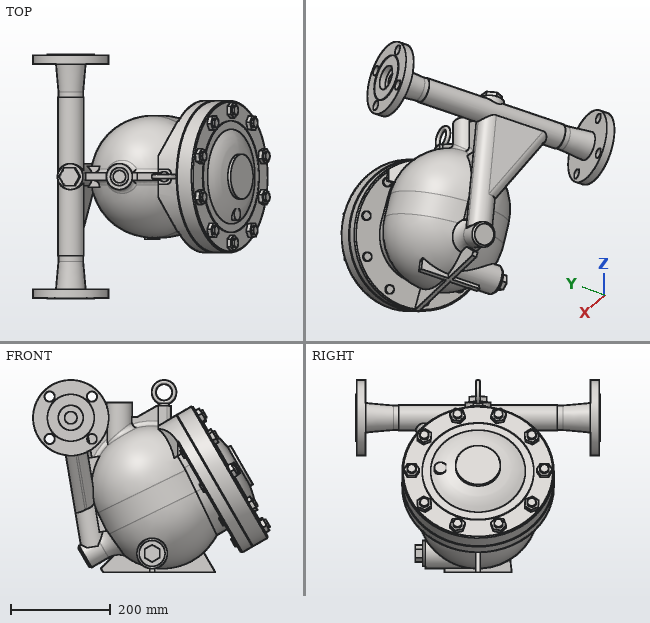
import cadquery as cq
import math


face_to_face = 490.0
pipe_diameter = 52.0
pipe_radius = pipe_diameter / 2
pipe_half_length = 159.0
flange_diameter = 152.0
flange_thickness = 18.0
raised_face_diameter = 94.0
raised_face_height = 1.5
hub_large_diameter = 60.0
hub_small_diameter = 50.0
hub_straight_length = 11.0
socket_diameter = 50.0
socket_depth = 13.0
flange_bore_diameter = 25.0
flange_bore_depth = 60.0
flange_hole_circle = 120.0
flange_hole_diameter = 20.0
flange_hole_count = 4

tilt = 30.0
chamber_radius = 245.0 / 2
chamber_tilt = 26.0
chamber_stretch = 48.0
chamber_setback = 88.0
upper_rise = 53.5
neck_radius = 97.0
neck_length = 24.0

cover_center = (320.0, -108.0)
cover_diameter = 305.0
cover_thickness = 36.5
body_flange_thickness = 26.5
body_flange_chamfer = 3.0
joint_groove_width = 1.5
joint_groove_depth = 1.0
joint_thickness = cover_thickness + body_flange_thickness
cover_chamfer = 2.5
cover_pad_radius = 112.0
cover_pad_height = 2.0
dome_radius = 95.0
dome_rise = 20.0
dome_mid_radius = 72.0
dome_mid_rise = 13.5
cover_boss_diameter = 90.0
cover_boss_height = 26.5
side_boss_diameter = 25.0
side_boss_offset = 75.0
side_boss_height = 16.0
stud_count = 10
stud_circle_radius = 133.0
stud_diameter = 18.0
stud_front = 13.5
stud_back = 4.0
nut_width = 27.0
nut_height = 9.0

shoulder_back = 175.0
shoulder_back_half_width = 41.0
shoulder_floor = 80.0
shoulder_front = 214.0
shoulder_front_half_width = 111.0

downpipe_tilt = 9.5
downpipe_offset = 3.5
downpipe_length = 262.0
cap_seat_height = 29.0
cap_hex_width = 36.0
cap_top = 41.0
web_width = 42.0
web_start = 14.0
web_reach = 40.0
web_top = 85.0
web_bottom = 235.0
gusset_width = 141.0
gusset_depth = 227.0
gusset_thickness = 44.0
gusset_edge_radius = 20.0
stub_diameter = 51.0
stub_rise = -2.0
stub_length = 190.0
stub_chamfer = 4.0
stub_flare_start = 147.0
stub_flare_end = 109.0
stub_flare_radius = 49.0
stub_flare_sag = 0.35

vent_x = 97.5
vent_top = 31.0
vent_diameter = 52.0
vent_counterbore = 36.0
vent_counterbore_depth = 1.0
vent_bore = 25.0
vent_bore_depth = 30.0
rib_thickness = 15.0
rib_fillet = 10.0
tolerance = 0.05
pipe_rib_low = -18.0
pipe_rib_high = 20.0
pipe_rib_bottom = -75.0
lug_rib_low = 2.0
lug_rib_high = 25.0
lug_rib_level_length = 10.0
eye_x = 187.0
lug_length = 26.0
lug_width = 30.0
lug_top = 24.0
collar_diameter = 20.0
collar_height = 5.0
eye_outer_diameter = 50.0
eye_wire_diameter = 9.0
eye_top = flange_diameter / 2

drain_center = (163.0, -272.0)
drain_diameter = 61.0
drain_face = 105.5
plug_collar_diameter = 52.0
plug_collar_face = 111.0
plug_hex_width = 30.0
plug_face = 126.0

base_z = -310.0
foot_plate_thickness = 10.0
foot_outline = [(65, base_z), (60, -302), (100, -262), (265, -267), (290, base_z)]
foot_half_width = 68.0
foot_top_half_width = 62.0
foot_height = 50.0

cos_tilt = math.cos(math.radians(tilt))
sin_tilt = math.sin(math.radians(tilt))
cover_axis = cq.Vector(cos_tilt, 0, sin_tilt)


def along_cover_axis(distance, rise=0.0):
    """X and Z of a point in the middle plane, from the centre of the cover face."""
    x = cover_center[0] + distance * cos_tilt - rise * sin_tilt
    z = cover_center[1] + distance * sin_tilt + rise * cos_tilt
    return x, z


def cover_plane(distance, rise=0.0):
    """Workplane square to the cover axis: local x is +Y, local y is up the cover."""
    x, z = along_cover_axis(distance, rise)
    return cq.Workplane(cq.Plane((x, 0, z), (0, 1, 0), (cos_tilt, 0, sin_tilt)))


def turn_axis(x, z, axis_tilt):
    """Plane for turned profiles: local x is +Y, local y points down and back along the tilted axis."""
    lean = math.radians(axis_tilt)
    return cq.Plane((x, 0, z), (0, 1, 0), (-math.sin(lean), 0, math.cos(lean)))


def hexagon(plane, width, height):
    """Hexagonal prism measured across its flats."""
    return plane.polygon(6, width / math.cos(math.radians(30))).extrude(height)


chamber_depth = joint_thickness + chamber_setback
upper_center = along_cover_axis(-chamber_depth, upper_rise)
lower_center = (
    upper_center[0] + chamber_stretch * math.sin(math.radians(chamber_tilt)),
    upper_center[1] - chamber_stretch * math.cos(math.radians(chamber_tilt)),
)


def make_chamber():
    x_low, z_low = lower_center
    x_up, z_up = upper_center
    lower = cq.Workplane("XY").sphere(chamber_radius).translate((x_low, 0, z_low))
    upper = cq.Workplane("XY").sphere(chamber_radius).translate((x_up, 0, z_up))
    stretch_plane = turn_axis(x_low, z_low, chamber_tilt)
    waist = cq.Workplane(stretch_plane).circle(chamber_radius).extrude(chamber_stretch)
    chamber = lower.union(upper).union(waist)
    block_size = 4 * cover_diameter
    in_front = cover_plane(-joint_thickness).rect(block_size, block_size).extrude(cover_diameter)
    return chamber.cut(in_front)


def make_vent_boss():
    height = vent_top - upper_center[1]
    plane = cq.Workplane("XY").workplane(offset=upper_center[1]).center(vent_x, 0)
    return plane.circle(vent_diameter / 2).extrude(height)


def make_vent_holes():
    plane = cq.Workplane("XY").workplane(offset=vent_top).center(vent_x, 0)
    counterbore = plane.circle(vent_counterbore / 2).extrude(-vent_counterbore_depth)
    return counterbore.union(plane.circle(vent_bore / 2).extrude(-vent_bore_depth))


def make_rib(outline):
    plane = cq.Workplane("XZ").workplane(offset=-rib_thickness / 2)
    return plane.polyline(outline).close().extrude(rib_thickness)


def make_ribs():
    center_x, center_z = upper_center
    pipe_rib = make_rib([
        (0, pipe_rib_low),
        (vent_x - vent_diameter / 2, pipe_rib_high),
        (vent_x, pipe_rib_high),
        (center_x, center_z),
        (0, pipe_rib_bottom),
    ])
    lug_rib = make_rib([
        (vent_x, lug_rib_low),
        (vent_x + vent_diameter / 2 + lug_rib_level_length, lug_rib_low),
        (eye_x - lug_length / 2, lug_rib_high),
        (eye_x, lug_rib_high),
        (center_x, center_z),
        (vent_x, center_z),
    ])
    return pipe_rib.union(lug_rib)


def blend_into_chamber(solid):
    """Fillet the edges where the vent boss and the ribs meet the upper chamber sphere."""
    lean = math.radians(chamber_tilt)
    stretch = cq.Vector(math.sin(lean), 0, -math.cos(lean))
    center = cq.Vector(upper_center[0], 0, upper_center[1])

    def is_root_edge(edge):
        spokes = [edge.positionAt(place) - center for place in (0.1, 0.5, 0.9)]
        on_sphere = all(abs(spoke.Length - chamber_radius) < tolerance for spoke in spokes)
        on_seam = all(abs(spoke.dot(stretch)) < tolerance for spoke in spokes)
        return on_sphere and not on_seam and abs(edge.Center().y) < vent_diameter / 2

    root_edges = [edge for edge in solid.edges().vals() if is_root_edge(edge)]
    return solid.newObject(root_edges).fillet(rib_fillet)


def make_lug():
    height = lug_top - upper_center[1]
    plane = cq.Workplane("XY").workplane(offset=upper_center[1])
    lug = plane.center(shoulder_back + lug_length / 2, 0).rect(lug_length, lug_width).extrude(height)
    return lug.edges("|Z and >X").fillet(lug_length / 3)


def make_shoulder():
    """Flange rim carried backwards, kept to a wedge at the top of the chamber."""
    bar = cover_plane(-joint_thickness - cover_diameter / 2)
    bar = bar.circle(cover_diameter / 2).extrude(cover_diameter / 2 + body_flange_thickness)
    wedge = (
        cq.Workplane("XY")
        .polyline([
            (shoulder_back, -shoulder_back_half_width),
            (shoulder_front, -shoulder_front_half_width),
            (2 * shoulder_front, -shoulder_front_half_width),
            (2 * shoulder_front, shoulder_front_half_width),
            (shoulder_front, shoulder_front_half_width),
            (shoulder_back, shoulder_back_half_width),
        ])
        .close()
        .extrude(-2 * cover_diameter)
        .translate((0, 0, cover_diameter))
    )
    upper_part = cover_plane(-2 * cover_diameter, shoulder_floor + cover_diameter / 2)
    upper_part = upper_part.rect(2 * cover_diameter, cover_diameter).extrude(3 * cover_diameter)
    return bar.intersect(wedge).intersect(upper_part)


def make_eyebolt():
    collar = cq.Workplane("XY").workplane(offset=lug_top).center(eye_x, 0)
    collar = collar.circle(collar_diameter / 2).extrude(collar_height)
    ring_radius = (eye_outer_diameter - eye_wire_diameter) / 2
    ring_z = eye_top - eye_outer_diameter / 2
    ring = cq.Solid.makeTorus(
        ring_radius, eye_wire_diameter / 2, cq.Vector(eye_x, 0, ring_z), cq.Vector(0, 1, 0)
    )
    return collar.union(cq.Workplane(ring))


def make_neck():
    """Two short cylinders that close the chamber against the back of the flange."""
    plane = cover_plane(-joint_thickness - neck_length)
    lower = plane.circle(neck_radius).extrude(neck_length)
    upper = plane.center(0, upper_rise).circle(neck_radius).extrude(neck_length)
    middle = plane.center(0, upper_rise / 2).rect(2 * neck_radius, upper_rise).extrude(neck_length)
    return lower.union(upper).union(middle)


def make_body_flange():
    plane = cover_plane(-joint_thickness)
    flange = plane.circle(cover_diameter / 2).extrude(body_flange_thickness)
    back_face = flange.faces(cq.selectors.DirectionMinMaxSelector(cover_axis, False))
    return back_face.edges().chamfer(body_flange_chamfer)


def make_joint_groove():
    """Shallow groove round the rim where the cover meets the body flange."""
    plane = cover_plane(-cover_thickness - joint_groove_width / 2)
    groove = plane.circle(cover_diameter / 2 + joint_groove_depth)
    return groove.circle(cover_diameter / 2 - joint_groove_depth).extrude(joint_groove_width)


def make_cover():
    disc = cover_plane(-cover_thickness).circle(cover_diameter / 2).extrude(cover_thickness)
    disc = disc.faces(cq.selectors.DirectionMinMaxSelector(cover_axis)).edges().chamfer(cover_chamfer)
    boss_radius = cover_boss_diameter / 2
    dome = (
        cq.Workplane(cq.Plane((cover_center[0], 0, cover_center[1]), (0, 1, 0), (sin_tilt, 0, -cos_tilt)))
        .moveTo(0, -cover_thickness / 2)
        .lineTo(cover_pad_radius, -cover_thickness / 2)
        .lineTo(cover_pad_radius, cover_pad_height)
        .lineTo(dome_radius, cover_pad_height)
        .threePointArc((dome_mid_radius, dome_mid_rise), (boss_radius, dome_rise))
        .lineTo(boss_radius, cover_boss_height)
        .lineTo(0, cover_boss_height)
        .close()
        .revolve(360, (0, 0, 0), (0, 1, 0))
    )
    side_boss = cover_plane(0).center(-side_boss_offset, 0)
    side_boss = side_boss.circle(side_boss_diameter / 2).extrude(side_boss_height)
    return disc.union(dome).union(side_boss)


def make_studs():
    studs = cover_plane(-joint_thickness - stud_back)
    studs = studs.polarArray(stud_circle_radius, 0, 360, stud_count)
    studs = studs.circle(stud_diameter / 2).extrude(joint_thickness + stud_back + stud_front)
    nuts = cover_plane(0).polarArray(stud_circle_radius, 0, 360, stud_count)
    return studs.union(hexagon(nuts, nut_width, nut_height))


def make_pipe_flange():
    """One end of the header, on the +Y side."""
    end = face_to_face / 2
    back = end - raised_face_height - flange_thickness
    hub_start = pipe_half_length + hub_straight_length
    flange = (
        cq.Workplane("XY")
        .polyline([
            (0, pipe_half_length),
            (hub_small_diameter / 2, pipe_half_length),
            (hub_small_diameter / 2, hub_start),
            (hub_large_diameter / 2, back),
            (flange_diameter / 2, back),
            (flange_diameter / 2, back + flange_thickness),
            (raised_face_diameter / 2, back + flange_thickness),
            (raised_face_diameter / 2, end),
            (0, end),
        ])
        .close()
        .revolve(360, (0, 0, 0), (0, 1, 0))
    )
    face = cq.Workplane("XZ").workplane(offset=-end)
    socket = face.circle(socket_diameter / 2).extrude(socket_depth)
    bore = face.circle(flange_bore_diameter / 2).extrude(flange_bore_depth)
    holes = face.polarArray(flange_hole_circle / 2, 45, 360, flange_hole_count)
    holes = holes.circle(flange_hole_diameter / 2).extrude(2 * flange_thickness)
    return flange.cut(socket).cut(bore).cut(holes)


def make_header():
    pipe = cq.Workplane("XZ").circle(pipe_radius).extrude(pipe_half_length, both=True)
    end = make_pipe_flange()
    return pipe.union(end).union(end.mirror("XZ"))


def downpipe_plane(distance):
    """Workplane square to the downpipe, distance measured upwards along its axis."""
    lean = math.radians(downpipe_tilt)
    axis = (-math.sin(lean), 0, math.cos(lean))
    origin = (downpipe_offset + distance * axis[0], 0, distance * axis[2])
    return cq.Workplane(cq.Plane(origin, (0, 1, 0), axis))


def make_downpipe():
    pipe = downpipe_plane(-downpipe_length).circle(pipe_radius).extrude(downpipe_length + cap_seat_height)
    cap_seat = downpipe_plane(cap_seat_height).transformed(rotate=(0, 0, 30))
    cap = hexagon(cap_seat, cap_hex_width, cap_top - cap_seat_height)
    return pipe.union(cap)


def make_web():
    """Metal that closes the narrow gap between the downpipe and the chamber."""
    web = downpipe_plane(-web_bottom).center(0, -web_reach / 2 - web_start)
    return web.rect(web_width, web_reach).extrude(web_bottom - web_top)


def make_gusset():
    """Triangular plate beside the downpipe, flush with its back, with a rounded free edge."""
    gusset = (
        downpipe_plane(0)
        .transformed(rotate=(90, 0, 0))
        .workplane(offset=-pipe_radius)
        .polyline([(0, 0), (-gusset_width, 0), (0, -gusset_depth)])
        .close()
        .extrude(gusset_thickness)
    )
    lean = math.radians(downpipe_tilt)
    free_side = cq.Vector(-gusset_depth * math.sin(lean), -gusset_width, gusset_depth * math.cos(lean))
    return gusset.edges(cq.selectors.ParallelDirSelector(free_side)).fillet(gusset_edge_radius)


def make_stub():
    """Inlet stub that flares into the chamber, turned about a line along the cover axis."""
    stub_radius = stub_diameter / 2
    x, z = along_cover_axis(-chamber_depth, stub_rise)
    plane = turn_axis(x, z, tilt)
    mid_distance = stub_flare_end + (stub_flare_start - stub_flare_end) * stub_flare_sag
    mid_radius = stub_radius + (stub_flare_radius - stub_radius) * stub_flare_sag
    return (
        cq.Workplane(plane)
        .moveTo(0, 0)
        .lineTo(stub_flare_radius, 0)
        .lineTo(stub_flare_radius, stub_flare_end)
        .threePointArc((mid_radius, mid_distance), (stub_radius, stub_flare_start))
        .lineTo(stub_radius, stub_length - stub_chamfer)
        .lineTo(stub_radius - stub_chamfer, stub_length)
        .lineTo(0, stub_length)
        .close()
        .revolve(360, (0, 0, 0), (0, 1, 0))
    )


def make_drain():
    x, z = drain_center
    plane = cq.Workplane("XZ").center(x, z)
    boss = plane.circle(drain_diameter / 2).extrude(drain_face)
    collar = plane.circle(plug_collar_diameter / 2).extrude(plug_collar_face)
    plug = plane.transformed(rotate=(0, 0, 30))
    return boss.union(collar).union(hexagon(plug, plug_hex_width, plug_face))


def make_foot():
    long_plate = (
        cq.Workplane("XZ")
        .workplane(offset=-foot_plate_thickness / 2)
        .polyline(foot_outline)
        .close()
        .extrude(foot_plate_thickness)
    )
    cross_plate = (
        cq.Workplane("YZ")
        .workplane(offset=drain_center[0] - foot_plate_thickness / 2)
        .polyline([
            (-foot_half_width, base_z),
            (foot_half_width, base_z),
            (foot_top_half_width, base_z + foot_height),
            (-foot_top_half_width, base_z + foot_height),
        ])
        .close()
        .extrude(foot_plate_thickness)
    )
    return long_plate.union(cross_plate)


ribbed_chamber = make_chamber().union(make_vent_boss()).union(make_ribs())
result = (
    blend_into_chamber(ribbed_chamber)
    .union(make_neck())
    .union(make_body_flange())
    .union(make_shoulder())
    .union(make_lug())
    .union(make_eyebolt())
    .union(make_cover())
    .union(make_studs())
    .union(make_stub())
    .union(make_downpipe())
    .union(make_gusset())
    .union(make_web())
    .union(make_header())
    .union(make_drain())
    .union(make_foot())
    .cut(make_vent_holes())
    .cut(make_joint_groove())
)